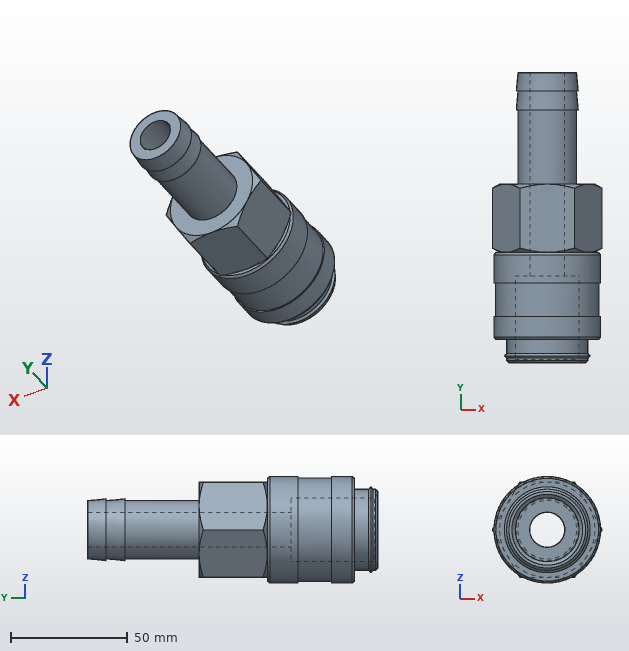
import cadquery as cq
import math

total_length = 125.0

nose_radius = 17.5
nose_chamfer = 1.0
ridge_radius = 18.5
ridge_start = 2.0
ridge_peak = 3.0
ridge_end = 4.0

sleeve_radius = 23.0
sleeve_start = 10.0
sleeve_end = 47.6
sleeve_chamfer_radial = 0.9
sleeve_chamfer_length = 1.1
waist_radius = 22.4
waist_start = 20.0
waist_end = 34.4

hex_corner_diameter = 47.4
hex_end = 77.0
hex_chamfer_angle = math.radians(30)

stem_radius = 12.6
barb_radius = 13.4
barb_length = 8.0
barb_count = 2

bore_radius = 7.5
socket_radius = 13.8
socket_depth = 37.5
mouth_radius = 15.2
mouth_depth = 1.5


def revolve_profile(points):
    """Revolve a closed (radius, y) outline around the Y axis."""
    return cq.Workplane("XY").polyline(points).close().revolve(360, (0, 0, 0), (0, 1, 0))


def nose():
    return revolve_profile([
        (0, 0),
        (nose_radius - nose_chamfer, 0),
        (nose_radius, nose_chamfer),
        (nose_radius, ridge_start),
        (ridge_radius, ridge_peak),
        (nose_radius, ridge_end),
        (nose_radius, sleeve_start),
        (0, sleeve_start),
    ])


def sleeve():
    face_radius = sleeve_radius - sleeve_chamfer_radial
    return revolve_profile([
        (0, sleeve_start),
        (face_radius, sleeve_start),
        (sleeve_radius, sleeve_start + sleeve_chamfer_length),
        (sleeve_radius, waist_start),
        (waist_radius, waist_start),
        (waist_radius, waist_end),
        (sleeve_radius, waist_end),
        (sleeve_radius, sleeve_end - sleeve_chamfer_length),
        (face_radius, sleeve_end),
        (0, sleeve_end),
    ])


def hexagon():
    """Hexagon with corners on the X axis, its end corners turned off conically."""
    prism = (
        cq.Workplane("XZ", origin=(0, sleeve_end, 0))
        .polygon(6, hex_corner_diameter)
        .extrude(sleeve_end - hex_end)
    )
    corner_radius = hex_corner_diameter / 2
    flat_radius = corner_radius * math.cos(math.pi / 6)
    chamfer_length = (corner_radius - flat_radius) * math.tan(hex_chamfer_angle)
    envelope = revolve_profile([
        (0, sleeve_end),
        (flat_radius, sleeve_end),
        (corner_radius, sleeve_end + chamfer_length),
        (corner_radius, hex_end - chamfer_length),
        (flat_radius, hex_end),
        (0, hex_end),
    ])
    return prism.intersect(envelope)


def hose_tail():
    points = [(0, hex_end), (stem_radius, hex_end)]
    for index in range(barb_count):
        barb_start = total_length - (barb_count - index) * barb_length
        points.append((stem_radius, barb_start))
        points.append((barb_radius, barb_start))
    points.append((stem_radius, total_length))
    points.append((0, total_length))
    return revolve_profile(points)


def passage():
    """Through bore opening into a wide socket with a tapered mouth."""
    return revolve_profile([
        (0, 0),
        (mouth_radius, 0),
        (socket_radius, mouth_depth),
        (socket_radius, socket_depth),
        (bore_radius, socket_depth),
        (bore_radius, total_length),
        (0, total_length),
    ])


result = nose().union(sleeve()).union(hexagon()).union(hose_tail()).cut(passage())